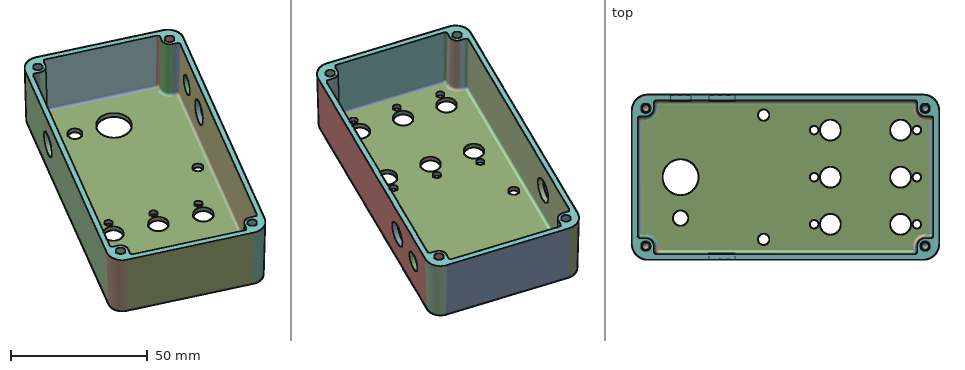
import cadquery as cq
import math

LENGTH = 112.4
WIDTH = 60.5
HEIGHT = 27.0
CORNER_RADIUS = 6.0
BOTTOM_FILLET = 1.0
DRAFT_ANGLE = 1.25

WALL = 2.1
FLOOR = 2.0
CAVITY_FILLET = 1.0

SCREW_X = 51.0
SCREW_Y = 25.2
POST_RADIUS = 2.9
SCREW_MOUTH_DIAMETER = 3.5
SCREW_TIP_DIAMETER = 2.7
SCREW_DEPTH = 18.0
DRILL_POINT_ANGLE = 118.0

FOOTSWITCH_DIAMETER = 13.0
FOOTSWITCH_X = -38.3
LAMP_DIAMETER = 5.5
LAMP_Y = -15.0
MOUNT_DIAMETER = 4.0
MOUNT_X = -8.0
MOUNT_Y = 22.7
KNOB_DIAMETER = 7.5
PIN_DIAMETER = 3.0
KNOB_COLUMNS_X = (16.4, 42.0)
PIN_OFFSET = 6.0
KNOB_PITCH_Y = 17.2

JACK_DIAMETER = 9.5
JACK_X = -23.3
POWER_DIAMETER = 7.5
POWER_X = FOOTSWITCH_X
WALL_HOLE_Z = 14.5


def make_body():
    """Solid block with drafted walls, built downwards from its rim."""
    rim = cq.Sketch().rect(LENGTH, WIDTH).vertices().fillet(CORNER_RADIUS)
    block = cq.Workplane("XY").workplane(offset=HEIGHT).placeSketch(rim)
    block = block.extrude(-HEIGHT, taper=DRAFT_ANGLE)
    return block.faces("<Z").edges().fillet(BOTTOM_FILLET)


def make_cavity():
    """Drafted cavity whose corners step around the screw posts."""
    half_x = LENGTH / 2 - WALL
    half_y = WIDTH / 2 - WALL
    post_half_x = half_x - SCREW_X + POST_RADIUS
    post_half_y = half_y - SCREW_Y + POST_RADIUS

    post = cq.Sketch().rect(2 * post_half_x, 2 * post_half_y).vertices().fillet(POST_RADIUS)
    outline = (
        cq.Sketch()
        .rect(2 * half_x, 2 * half_y)
        .rarray(2 * half_x, 2 * half_y, 2, 2)
        .face(post, mode="s")
    )
    cavity = cq.Workplane("XY").workplane(offset=HEIGHT).placeSketch(outline)
    cavity = cavity.extrude(FLOOR - HEIGHT, taper=DRAFT_ANGLE)

    cavity = cavity.faces("<X or >X or <Y or >Y").edges("not(#Z)").fillet(CAVITY_FILLET)
    return cavity.faces("<Z").edges().fillet(CAVITY_FILLET)


def screw_hole(x, y):
    """Blind tapered hole with a conical end."""
    mouth = SCREW_MOUTH_DIAMETER / 2
    tip = SCREW_TIP_DIAMETER / 2
    point = tip / math.tan(math.radians(DRILL_POINT_ANGLE / 2))
    profile = (
        cq.Workplane("XZ")
        .lineTo(mouth, 0)
        .lineTo(tip, -SCREW_DEPTH)
        .lineTo(0, -SCREW_DEPTH - point)
        .close()
    )
    return profile.revolve(360, (0, 0), (0, 1)).translate((x, y, HEIGHT))


def floor_holes(diameter, points):
    """Upright cutters that pass through the floor."""
    return cq.Workplane("XY").pushPoints(points).circle(diameter / 2).extrude(HEIGHT)


def wall_hole(diameter, x, start_y, end_y):
    """Horizontal cutter along Y, from start_y to end_y."""
    axis = cq.Workplane("XZ", origin=(x, start_y, WALL_HOLE_Z))
    return axis.circle(diameter / 2).extrude(start_y - end_y)


result = make_body().cut(make_cavity())

for side_x in (-1, 1):
    for side_y in (-1, 1):
        result = result.cut(screw_hole(side_x * SCREW_X, side_y * SCREW_Y))

result = result.cut(floor_holes(FOOTSWITCH_DIAMETER, [(FOOTSWITCH_X, 0)]))
result = result.cut(floor_holes(LAMP_DIAMETER, [(FOOTSWITCH_X, LAMP_Y)]))
result = result.cut(floor_holes(MOUNT_DIAMETER, [(MOUNT_X, -MOUNT_Y), (MOUNT_X, MOUNT_Y)]))

left_column_x, right_column_x = KNOB_COLUMNS_X
for row in (-1, 0, 1):
    row_y = row * KNOB_PITCH_Y
    knobs = [(left_column_x, row_y), (right_column_x, row_y)]
    pins = [(left_column_x - PIN_OFFSET, row_y), (right_column_x + PIN_OFFSET, row_y)]
    result = result.cut(floor_holes(KNOB_DIAMETER, knobs))
    result = result.cut(floor_holes(PIN_DIAMETER, pins))

result = result.cut(wall_hole(JACK_DIAMETER, JACK_X, -WIDTH, WIDTH))
result = result.cut(wall_hole(POWER_DIAMETER, POWER_X, 0, WIDTH))